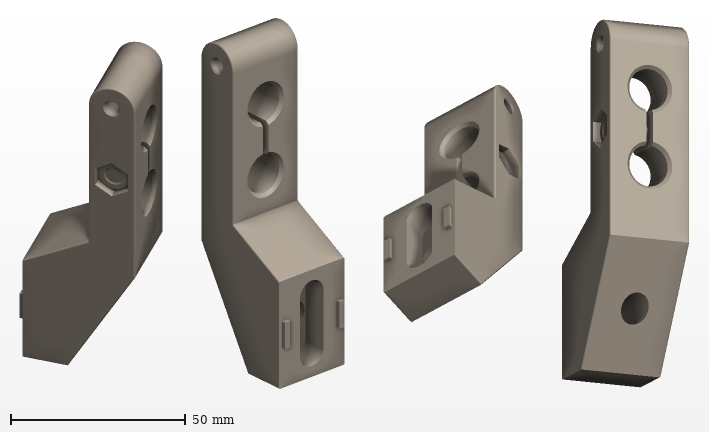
import cadquery as cq
import math

height = 100.0
width = 25.0
rib_depth = 1.3
mid_y = width / 2

base_depth = 13.6
arm_thickness = 14.0
arm_offset = 20.0
shoulder_z = 45.0
shoulder_rise = 11.0
heel_angle = math.radians(60.0)
corner_fillet = 0.5
edge_fillet = 0.5

arm_radius = arm_thickness / 2
base_front_x = rib_depth
arm_front_x = base_front_x + arm_offset
arm_back_x = arm_front_x + arm_thickness
arm_mid_x = arm_front_x + arm_radius
base_back_x = base_front_x + base_depth
base_top_z = shoulder_z - shoulder_rise
heel_top_z = (arm_back_x - base_back_x) * math.tan(heel_angle)

pivot_z = height - arm_radius
pivot_diameter = 4.3
pivot_chamfer = 0.5

rod_diameter = 12.0
rod_spacing = 22.5
rod_chamfer = 1.0
slit_width = 2.0
clamp_z = 68.2

mount_z = 17.0
slot_width = 9.0
slot_length = 27.2
slot_depth = 7.9
mount_hole_diameter = 8.4
rib_width = 2.0
rib_length = 8.5
rib_inset = 1.1

screw_diameter = 6.0
thread_core_diameter = 5.0
nut_flats = 10.0
nut_thickness = 5.0
nut_recess = 2.0
nut_face_diameter = 9.0
nut_bevel_angle = math.radians(30.0)

nut_corners = nut_flats / math.cos(math.radians(30.0))
nut_back_y = nut_recess + nut_thickness
countersink_depth = (screw_diameter - thread_core_diameter) / 2 * math.tan(nut_bevel_angle)
screw_tip_y = nut_recess + countersink_depth


def y_cylinder(diameter, y_start, y_end, z):
    """Cylinder along +Y on the arm's centre plane."""
    start = cq.Vector(arm_mid_x, y_start, z)
    return cq.Workplane(cq.Solid.makeCylinder(diameter / 2, y_end - y_start, start, cq.Vector(0, 1, 0)))


def y_cone(diameter_start, diameter_end, y_start, y_end, z):
    """Truncated cone along +Y on the arm's centre plane."""
    start = cq.Vector(arm_mid_x, y_start, z)
    cone = cq.Solid.makeCone(
        diameter_start / 2, diameter_end / 2, y_end - y_start, start, cq.Vector(0, 1, 0)
    )
    return cq.Workplane(cone)


def hex_prism(y_start, y_end):
    """Hexagonal prism along +Y with corners pointing up and down."""
    plane = cq.Plane(origin=(arm_mid_x, y_start, clamp_z), xDir=(0, 0, 1), normal=(0, 1, 0))
    return cq.Workplane(plane).polygon(6, nut_corners).extrude(y_end - y_start)


def make_blank():
    """Cranked arm with a rounded top; its side edges are filleted except along the base front."""
    blank = (
        cq.Workplane("XZ", origin=(0, width, 0))
        .moveTo(base_front_x, 0)
        .lineTo(base_back_x, 0)
        .lineTo(arm_back_x, heel_top_z)
        .lineTo(arm_back_x, pivot_z)
        .threePointArc((arm_mid_x, height), (arm_front_x, pivot_z))
        .lineTo(arm_front_x, shoulder_z)
        .lineTo(base_front_x, base_top_z)
        .close()
        .extrude(width)
    )
    inner_corner = cq.selectors.NearestToPointSelector((arm_front_x, mid_y, shoulder_z))
    blank = blank.edges("|Y").edges(inner_corner).fillet(corner_fillet)
    behind_front_face = cq.selectors.BoxSelector(
        (base_front_x + edge_fillet, -edge_fillet, -edge_fillet),
        (arm_back_x + edge_fillet, width + edge_fillet, height + edge_fillet),
    )
    return blank.faces("<Y or >Y").edges(behind_front_face).fillet(edge_fillet)


def cut_pivot_hole(body):
    """Cross hole through the rounded top, chamfered at both sides."""
    mouth = pivot_diameter + 2 * pivot_chamfer
    body = body.cut(y_cylinder(pivot_diameter, 0, width, pivot_z))
    body = body.cut(y_cone(mouth, pivot_diameter, 0, pivot_chamfer, pivot_z))
    return body.cut(y_cone(pivot_diameter, mouth, width - pivot_chamfer, width, pivot_z))


def cut_rod_clamp(body):
    """Two rod bores with chamfered mouths and the slit that joins them."""
    x_axis = cq.Vector(1, 0, 0)
    bore_radius = rod_diameter / 2
    mouth_radius = bore_radius + rod_chamfer
    for side in (-1, 1):
        z = clamp_z + side * rod_spacing / 2
        front = cq.Vector(arm_front_x, mid_y, z)
        back = cq.Vector(arm_back_x, mid_y, z)
        body = body.cut(cq.Workplane(cq.Solid.makeCylinder(bore_radius, arm_thickness, front, x_axis)))
        for mouth, inward in ((front, x_axis), (back, -x_axis)):
            cone = cq.Solid.makeCone(mouth_radius, bore_radius, rod_chamfer, mouth, inward)
            body = body.cut(cq.Workplane(cone))
    slit = cq.Workplane("XY").box(arm_thickness, slit_width, rod_spacing)
    return body.cut(slit.translate((arm_mid_x, mid_y, clamp_z)))


def cut_mounting(body):
    """Vertical slot in the base front with a bolt hole through its floor."""
    front_plane = cq.Workplane("YZ", origin=(base_front_x, mid_y, mount_z))
    slot = front_plane.slot2D(slot_length, slot_width, 90).extrude(slot_depth)
    hole = front_plane.circle(mount_hole_diameter / 2).extrude(arm_back_x - base_front_x)
    return body.cut(slot).cut(hole)


def add_locating_ribs(body):
    """Two short ribs standing out from the base front."""
    rib_offset = mid_y - rib_inset - rib_width / 2
    for side in (-1, 1):
        rib = cq.Workplane("XY").box(rib_depth, rib_width, rib_length)
        body = body.union(rib.translate((rib_depth / 2, mid_y + side * rib_offset, mount_z)))
    return body


def cut_screw_seat(body):
    """Hexagonal nut pocket and the clamp screw hole across the slit."""
    body = body.cut(hex_prism(0, nut_back_y))
    return body.cut(y_cylinder(screw_diameter, nut_back_y, width, clamp_z))


def make_bracket():
    """Cranked bracket with all its holes, slots, ribs and the clamp screw seat."""
    body = make_blank()
    body = cut_pivot_hole(body)
    body = cut_rod_clamp(body)
    body = cut_mounting(body)
    body = add_locating_ribs(body)
    return cut_screw_seat(body)


def make_nut():
    """Hexagon nut with its outer corners bevelled and its bore countersunk."""
    bevel_end_diameter = nut_face_diameter + 2 * nut_thickness / math.tan(nut_bevel_angle)
    bevel = y_cone(nut_face_diameter, bevel_end_diameter, nut_recess, nut_back_y, clamp_z)
    countersink = y_cone(screw_diameter, thread_core_diameter, nut_recess, screw_tip_y, clamp_z)
    bore = y_cylinder(thread_core_diameter, nut_recess, nut_back_y, clamp_z)
    return hex_prism(nut_recess, nut_back_y).intersect(bevel).cut(bore).cut(countersink)


def make_screw():
    """Plain shank across the arm with a thinner threaded end inside the nut."""
    threaded_end = y_cylinder(thread_core_diameter, screw_tip_y, nut_back_y, clamp_z)
    return y_cylinder(screw_diameter, nut_back_y, width, clamp_z).union(threaded_end)


bracket = make_bracket()
nut = make_nut()
screw = make_screw()

bodies = [body.solids().val() for body in (bracket, nut, screw)]
result = cq.Compound.makeCompound(bodies)